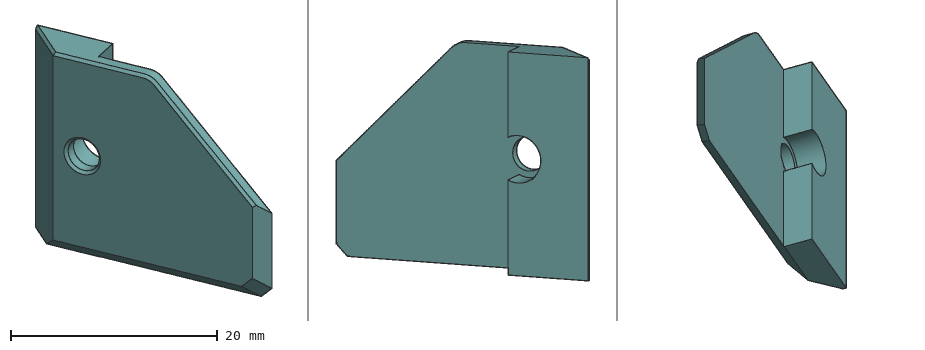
import cadquery as cq
import math

length = 27.25
depth = 4.4
height = 22.0

plate_thickness = 1.42
block_length = 8.28
left_wall_depth = 0.35
left_slope = depth - left_wall_depth

right_edge_height = 9.48
shoulder_radius = 2.0
edge_chamfer = 0.3
bottom_bevel = 1.5
corner_leg = 1.17

hole_diameter = 3.4
recess_diameter = 4.69
hole_x = 7.25
hole_z = 11.5

shoulder_x = length - (height - right_edge_height)


def make_body():
    """Depth profile, trimmed to the outline seen square to the plate."""
    profile = (
        cq.Workplane("XY")
        .moveTo(left_slope, 0)
        .lineTo(length - plate_thickness, 0)
        .lineTo(length, plate_thickness)
        .lineTo(block_length, plate_thickness)
        .lineTo(block_length, depth)
        .lineTo(0, depth)
        .lineTo(0, left_slope)
        .close()
        .extrude(height)
    )
    tangent_length = shoulder_radius * math.tan(math.radians(22.5))
    diagonal_step = tangent_length * math.sin(math.radians(45))
    outline = (
        cq.Workplane("XZ")
        .lineTo(length, 0)
        .lineTo(length, right_edge_height)
        .lineTo(shoulder_x + diagonal_step, height - diagonal_step)
        .radiusArc((shoulder_x - tangent_length, height), -shoulder_radius)
        .lineTo(0, height)
        .close()
        .extrude(-depth)
    )
    return profile.intersect(outline)


def chamfer_upper_edges(body):
    """Break the upper edges of the front face and of the left slope."""
    margin = 0.27
    middle = left_slope / 2
    front_edges = cq.selectors.BoxSelector(
        (0, -margin, height / 2 + margin), (length, margin, height + margin)
    )
    slope_edge = cq.selectors.BoxSelector(
        (middle - margin, middle - margin, height - margin),
        (middle + margin, middle + margin, height + margin),
    )
    return body.edges(front_edges + slope_edge).chamfer(edge_chamfer)


def make_bottom_bevel():
    """Wedge that bevels the lower front edge at 45 degrees."""
    return (
        cq.Workplane("YZ")
        .lineTo(bottom_bevel, 0)
        .lineTo(0, bottom_bevel)
        .close()
        .extrude(length)
    )


def make_corner_cut():
    """Triangular cut following the mitre of the right and bottom bevels."""
    corner_sections = []
    for y in (0, plate_thickness):
        corner_x = length - plate_thickness + y
        corner_z = bottom_bevel - y
        corners = [
            cq.Vector(corner_x, y, corner_z),
            cq.Vector(corner_x, y, corner_z + corner_leg),
            cq.Vector(corner_x - corner_leg, y, corner_z),
        ]
        corner_sections.append(cq.Wire.makePolygon(corners, close=True))
    return cq.Workplane(obj=cq.Solid.makeLoft(corner_sections, True))


def make_hole():
    """Plate hole with a chamfered front rim and a wider recess behind it."""
    bore = (
        cq.Workplane("XZ")
        .center(hole_x, hole_z)
        .circle(hole_diameter / 2)
        .extrude(-depth)
    )
    recess = (
        cq.Workplane("XZ", origin=(0, plate_thickness, 0))
        .center(hole_x, hole_z)
        .circle(recess_diameter / 2)
        .extrude(plate_thickness - depth)
    )
    rim = cq.Solid.makeCone(
        hole_diameter / 2 + edge_chamfer,
        hole_diameter / 2,
        edge_chamfer,
        cq.Vector(hole_x, 0, hole_z),
        cq.Vector(0, 1, 0),
    )
    return bore.union(recess).union(cq.Workplane(obj=rim))


result = (
    chamfer_upper_edges(make_body())
    .cut(make_bottom_bevel())
    .cut(make_corner_cut())
    .cut(make_hole())
)